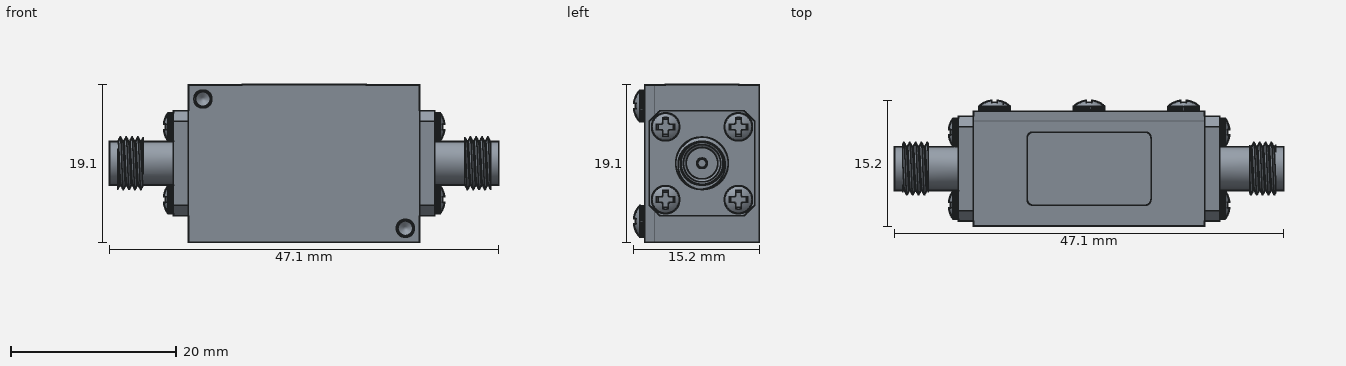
import cadquery as cq
import math

OVERALL_LENGTH = 47.1
BODY_LENGTH = 27.95
BODY_DEPTH = 13.9
BODY_HEIGHT = 19.02
LID_THICKNESS = 1.2

LABEL_LENGTH = 14.97
LABEL_WIDTH = 8.85
LABEL_THICKNESS = 0.1
LABEL_CORNER_RADIUS = 0.7

MOUNT_HOLE_DIAMETER = 1.8
MOUNT_STEP_DIAMETER = 2.15
MOUNT_STEP_DEPTH = 0.2
MOUNT_HOLE_INSET_X = 1.75
MOUNT_HOLE_INSET_Z = 1.7
MOUNT_HOLE_DEPTH = 2.83
DRILL_POINT_ANGLE = 118.0

CONNECTOR_RISE = 0.05
FLANGE_SIZE = 12.7
FLANGE_THICKNESS = 1.85
FLANGE_CHAMFER = 1.25

BARREL_DIAMETER = 5.3
BARREL_LENGTH = (OVERALL_LENGTH - BODY_LENGTH) / 2 - FLANGE_THICKNESS
MOUTH_DIAMETER = 5.1
MOUTH_CHAMFER_DEPTH = 0.1
BORE_DIAMETER = 4.5
FLOOR_DIAMETER = 3.8
BORE_DEPTH = 2.05
CONTACT_CHAMFER_DIAMETER = 1.25
CONTACT_HOLE_DIAMETER = 1.05
CONTACT_HOLE_DEPTH = 1.9

THREAD_DIAMETER = 6.35
THREAD_PITCH = 0.7
THREAD_BASE_WIDTH = 0.65
THREAD_LENGTH = 3.1
THREAD_TIP_SETBACK = 1.0
THREAD_FIRST_CREST = 1.3
THREAD_ROOT_OVERLAP = 0.1

KNURL_TEETH = 30
KNURL_DEPTH = 0.05
KNURL_BASE = 0.165
CROSS_SPAN = 2.45
CROSS_FLOOR_SPAN = 1.85
CROSS_SLOT_WIDTH = 0.65
CROSS_CORE_DIAMETER = 1.15
CROSS_DEPTH = 0.85

FLANGE_SCREW_DIAMETER = 3.4
FLANGE_SCREW_HEIGHT = 1.22
FLANGE_SCREW_RIM = 0.6
FLANGE_SCREW_SPACING = 8.8
LID_SCREW_DIAMETER = 3.8
LID_SCREW_HEIGHT = 1.35
LID_SCREW_RIM = 0.55
LID_SCREW_INSET = 2.55


def make_housing():
    body_depth = BODY_DEPTH - LID_THICKNESS
    body = cq.Workplane("XY").box(BODY_LENGTH, body_depth, BODY_HEIGHT)
    body = body.translate((0, -LID_THICKNESS / 2, 0))
    lid = cq.Workplane("XY").box(BODY_LENGTH, LID_THICKNESS, BODY_HEIGHT)
    lid = lid.translate((0, body_depth / 2, 0))
    return body.union(lid, clean=False)


def make_label():
    return (
        cq.Workplane("XY", origin=(0, 0, BODY_HEIGHT / 2))
        .rect(LABEL_LENGTH, LABEL_WIDTH)
        .extrude(LABEL_THICKNESS)
        .edges("|Z")
        .fillet(LABEL_CORNER_RADIUS)
    )


def make_mount_hole(x, z):
    """Blind hole with a shallow stepped mouth and a drill point, sunk into the -Y face."""
    radius = MOUNT_HOLE_DIAMETER / 2
    step_radius = MOUNT_STEP_DIAMETER / 2
    point_length = radius / math.tan(math.radians(DRILL_POINT_ANGLE / 2))
    profile = [
        (0, 0),
        (step_radius, 0),
        (step_radius, MOUNT_STEP_DEPTH),
        (radius, MOUNT_STEP_DEPTH),
        (radius, MOUNT_HOLE_DEPTH),
        (0, MOUNT_HOLE_DEPTH + point_length),
    ]
    hole = cq.Workplane("XY").polyline(profile).close().revolve(360, (0, 0), (0, 1))
    return hole.translate((x, -BODY_DEPTH / 2, z))


def make_screw_head(diameter, height, rim_height):
    """Domed, knurled screw head standing on the XY plane, axis along +Z."""
    radius = diameter / 2
    dome_height = height - rim_height
    dome_radius = (radius**2 + dome_height**2) / (2 * dome_height)
    mid_radius = radius / 2
    mid_height = height - dome_radius + math.sqrt(dome_radius**2 - mid_radius**2)
    head = (
        cq.Workplane("XZ")
        .lineTo(radius, 0)
        .lineTo(radius, rim_height)
        .threePointArc((mid_radius, mid_height), (0, height))
        .close()
        .revolve(360, (0, 0), (0, 1))
    )
    tooth_pitch = math.pi * diameter / KNURL_TEETH
    notches = (
        cq.Workplane("XY", origin=(0, 0, KNURL_BASE))
        .polarArray(radius, 0, 360, KNURL_TEETH)
        .rect(2 * KNURL_DEPTH, tooth_pitch / 2)
        .extrude(height)
    )
    floor = height - CROSS_DEPTH
    slot = (
        cq.Workplane("XZ")
        .moveTo(-CROSS_FLOOR_SPAN / 2, floor)
        .lineTo(CROSS_FLOOR_SPAN / 2, floor)
        .lineTo(CROSS_SPAN / 2, height)
        .lineTo(-CROSS_SPAN / 2, height)
        .close()
        .extrude(CROSS_SLOT_WIDTH / 2, both=True)
    )
    core = cq.Workplane("XY", origin=(0, 0, floor)).circle(CROSS_CORE_DIAMETER / 2).extrude(CROSS_DEPTH)
    recess = slot.union(slot.rotate((0, 0, 0), (0, 0, 1), 90)).union(core)
    return head.cut(notches).cut(recess)


def make_thread():
    """Right-handed triangular ridge around the barrel, trimmed square at both ends."""
    root_radius = BARREL_DIAMETER / 2 - THREAD_ROOT_OVERLAP
    thread_end = BARREL_LENGTH - THREAD_TIP_SETBACK
    thread_start = thread_end - THREAD_LENGTH
    turns = math.ceil(THREAD_LENGTH / THREAD_PITCH) + 2
    helix_end = BARREL_LENGTH - THREAD_FIRST_CREST + THREAD_PITCH
    helix = cq.Workplane(cq.Wire.makeHelix(THREAD_PITCH, turns * THREAD_PITCH, root_radius))
    ridge = (
        cq.Workplane("XZ")
        .moveTo(root_radius, -THREAD_BASE_WIDTH / 2)
        .lineTo(THREAD_DIAMETER / 2, 0)
        .lineTo(root_radius, THREAD_BASE_WIDTH / 2)
        .close()
        .sweep(helix, isFrenet=True)
        .translate((0, 0, helix_end - turns * THREAD_PITCH))
    )
    trim = cq.Workplane("XY", origin=(0, 0, thread_start)).circle(THREAD_DIAMETER).extrude(THREAD_LENGTH)
    return ridge.intersect(trim)


def make_barrel():
    """Hollow connector barrel standing on the XY plane, axis along +Z."""
    floor = BARREL_LENGTH - BORE_DEPTH
    floor_radius = FLOOR_DIAMETER / 2
    bore_radius = BORE_DIAMETER / 2
    barrel_radius = BARREL_DIAMETER / 2
    contact_radius = CONTACT_HOLE_DIAMETER / 2
    contact_mouth_radius = CONTACT_CHAMFER_DIAMETER / 2
    profile = [
        (0, 0),
        (barrel_radius, 0),
        (barrel_radius, BARREL_LENGTH),
        (MOUTH_DIAMETER / 2, BARREL_LENGTH),
        (bore_radius, BARREL_LENGTH - MOUTH_CHAMFER_DEPTH),
        (bore_radius, floor + (bore_radius - floor_radius)),
        (floor_radius, floor),
        (contact_mouth_radius, floor),
        (contact_radius, floor - (contact_mouth_radius - contact_radius)),
        (contact_radius, floor - CONTACT_HOLE_DEPTH),
        (0, floor - CONTACT_HOLE_DEPTH),
    ]
    return cq.Workplane("XZ").polyline(profile).close().revolve(360, (0, 0), (0, 1))


def make_connector():
    """Flange, screws, barrel and thread with the mating axis along +Z."""
    connector = (
        cq.Workplane("XY")
        .rect(FLANGE_SIZE, FLANGE_SIZE)
        .extrude(FLANGE_THICKNESS)
        .edges("|Z")
        .chamfer(FLANGE_CHAMFER)
    )
    barrel = make_barrel().union(make_thread())
    connector = connector.union(barrel.translate((0, 0, FLANGE_THICKNESS)))
    screw = make_screw_head(FLANGE_SCREW_DIAMETER, FLANGE_SCREW_HEIGHT, FLANGE_SCREW_RIM)
    offset = FLANGE_SCREW_SPACING / 2
    for x in (-offset, offset):
        for y in (-offset, offset):
            connector = connector.union(screw.translate((x, y, FLANGE_THICKNESS)))
    return connector


result = make_housing().union(make_label(), clean=False)

hole_x = BODY_LENGTH / 2 - MOUNT_HOLE_INSET_X
hole_z = BODY_HEIGHT / 2 - MOUNT_HOLE_INSET_Z
for side in (-1, 1):
    result = result.cut(make_mount_hole(side * hole_x, -side * hole_z), clean=False)

left_connector = make_connector().rotate((0, 0, 0), (0, 1, 0), -90)
left_connector = left_connector.translate((-BODY_LENGTH / 2, 0, CONNECTOR_RISE))
for turn in (0, 180):
    result = result.union(left_connector.rotate((0, 0, 0), (0, 0, 1), turn), clean=False)

lid_screw = make_screw_head(LID_SCREW_DIAMETER, LID_SCREW_HEIGHT, LID_SCREW_RIM)
lid_screw = lid_screw.rotate((0, 0, 0), (1, 0, 0), -90)
lid_screw_x = BODY_LENGTH / 2 - LID_SCREW_INSET
lid_screw_z = BODY_HEIGHT / 2 - LID_SCREW_INSET
for x in (-lid_screw_x, 0, lid_screw_x):
    for z in (-lid_screw_z, lid_screw_z):
        result = result.union(lid_screw.translate((x, BODY_DEPTH / 2, z)), clean=False)